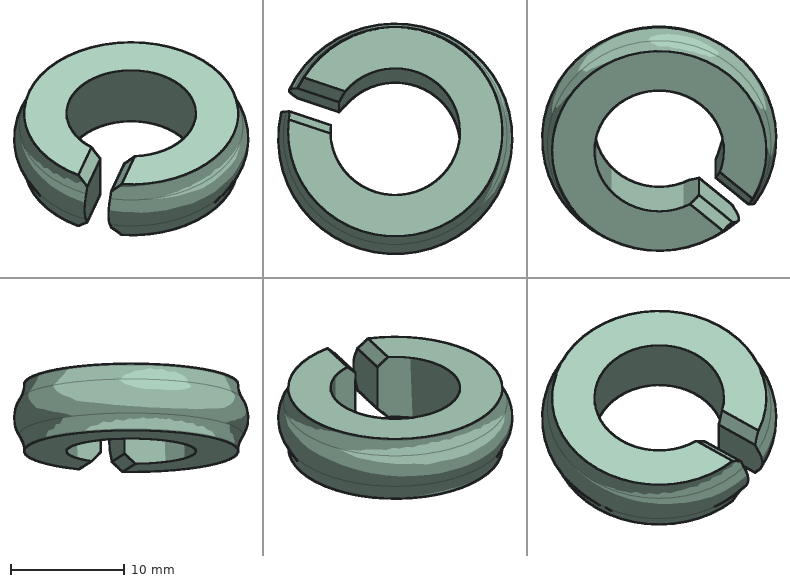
import cadquery as cq
import math

crown_radius = 10.32
rim_radius = 9.43
bore_radius = 5.7
height = 6.0
half_height = height / 2

crown_half_width = 1.53
rim_land = 0.12

slot_width = 2.19
slot_chamfer = 0.9

flank_top = half_height - rim_land
flank_angle = 2 * math.atan((crown_radius - rim_radius) / flank_top)
crown_arc_radius = crown_half_width / math.sin(flank_angle)
flank_arc_radius = (flank_top - crown_half_width) / math.sin(flank_angle)


def crown_point(angle):
    """Radius and height on the convex crown arc, with angle zero at mid height."""
    return (
        crown_radius - crown_arc_radius * (1 - math.cos(angle)),
        crown_arc_radius * math.sin(angle),
    )


def flank_point(angle):
    """Radius and height on the upper concave arc, with angle zero at the rim."""
    return (
        rim_radius + flank_arc_radius * (1 - math.cos(angle)),
        flank_top - flank_arc_radius * math.sin(angle),
    )


def mirrored(point):
    """The same profile point below the middle plane."""
    radius, level = point
    return radius, -level


def make_ring():
    crown_end = crown_point(flank_angle)
    flank_middle = flank_point(flank_angle / 2)
    flank_end = flank_point(0)
    return (
        cq.Workplane("XZ")
        .moveTo(bore_radius, -half_height)
        .lineTo(rim_radius, -half_height)
        .lineTo(*mirrored(flank_end))
        .threePointArc(mirrored(flank_middle), mirrored(crown_end))
        .threePointArc(crown_point(0), crown_end)
        .threePointArc(flank_middle, flank_end)
        .lineTo(rim_radius, half_height)
        .lineTo(bore_radius, half_height)
        .close()
        .revolve(360, (0, 0, 0), (0, 1, 0))
    )


def make_slot():
    """Slot cutter, flared by the edge chamfers at the top and bottom faces."""
    half_slot = slot_width / 2
    half_mouth = half_slot + slot_chamfer
    chamfer_start = half_height - slot_chamfer
    return (
        cq.Workplane("XZ")
        .moveTo(-half_mouth, -half_height)
        .lineTo(half_mouth, -half_height)
        .lineTo(half_slot, -chamfer_start)
        .lineTo(half_slot, chamfer_start)
        .lineTo(half_mouth, half_height)
        .lineTo(-half_mouth, half_height)
        .lineTo(-half_slot, chamfer_start)
        .lineTo(-half_slot, -chamfer_start)
        .close()
        .extrude(crown_radius)
    )


result = make_ring().cut(make_slot())